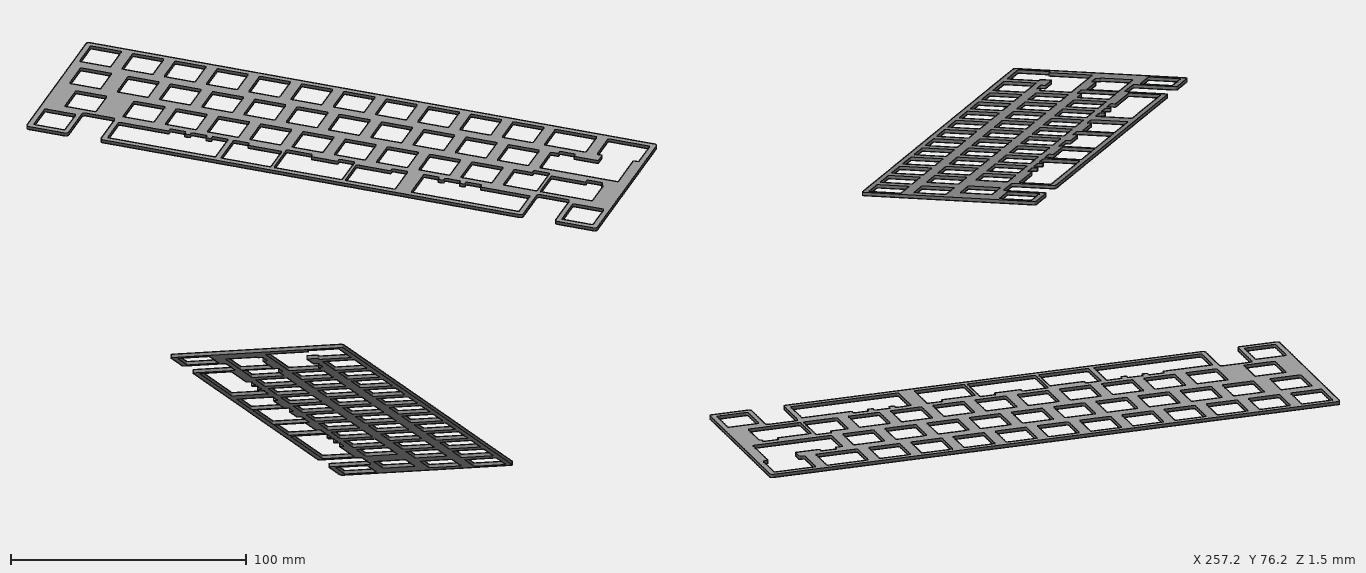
import cadquery as cq

PLATE_LENGTH = 257.2
PLATE_COLUMNS = 13.5
PLATE_ROWS = 4
PITCH = PLATE_LENGTH / PLATE_COLUMNS
THICKNESS = 1.5
OUTER_RADIUS = 1.3
WINDOW_RADIUS = 0.5

HALF_WEB = 2.52
SWITCH_SIZE = PITCH - 2 * HALF_WEB
HALF_SWITCH = SWITCH_SIZE / 2
STABILIZER_WIDTH = SWITCH_SIZE / 2
HALF_STABILIZER = STABILIZER_WIDTH / 2
STABILIZER_RISE = 2.0
STABILIZER_SPACING = 24.0
STABILIZER_REACH = STABILIZER_SPACING / 2

BOTTOM_ROW = 0.5
LOWER_ROW = 1.5
HOME_ROW = 2.5
TOP_ROW = 3.5

END_KEY_OFFSET = 0.5
ENTER_COLUMN = 12.375
ENTER_STEM_COLUMN = 12.875
SHIFT_COLUMN = 12.125
MIDDLE_COLUMN = PLATE_COLUMNS / 2
SPLIT_LEFT_COLUMN = 5.375
SPLIT_RIGHT_COLUMN = 7.875

SPACEBAR_REACHES = (2.5, 3.0, 3.5)
SPACEBAR_OUTER_KEY = 4.5
SHELF_EXTENSION = 4.6

NOTCH_INSET = 18.8
NOTCH_WIDTH = 14.7


def along_x(column):
    return (column - PLATE_COLUMNS / 2) * PITCH


def along_y(row):
    return (row - PLATE_ROWS / 2) * PITCH


def block(left, right, bottom, top):
    """Box through the full plate thickness."""
    box = cq.Workplane("XY").box(right - left, top - bottom, THICKNESS, centered=False)
    return box.translate((left, bottom, 0))


def row_opening(row, left, right, rise=0):
    """Opening as deep as a switch, optionally raised at the back."""
    middle = along_y(row)
    return block(left, right, middle - HALF_SWITCH, middle + HALF_SWITCH + rise)


def switch_opening(row, first_column, last_column):
    """Switch opening stretched to serve every key centre from first to last."""
    left = along_x(first_column) - HALF_SWITCH
    right = along_x(last_column) + HALF_SWITCH
    return row_opening(row, left, right)


def stabilizer_opening(row, centre, extension=0):
    """Stabilizer opening, optionally extended to the right."""
    left = centre - HALF_STABILIZER
    right = centre + HALF_STABILIZER + extension
    return row_opening(row, left, right, STABILIZER_RISE)


def window(*openings):
    """Join overlapping openings and round their corners."""
    joined = openings[0]
    for opening in openings[1:]:
        joined = joined.union(opening)
    return joined.clean().edges("|Z").fillet(WINDOW_RADIUS)


def square_windows():
    """Runs of single-switch windows: row, first column, number of keys."""
    runs = (
        (TOP_ROW, END_KEY_OFFSET, 11),
        (HOME_ROW, 0.625, 1),
        (HOME_ROW, 1.75, 10),
        (LOWER_ROW, 0.875, 1),
        (LOWER_ROW, 2.25, 9),
        (BOTTOM_ROW, END_KEY_OFFSET, 1),
        (BOTTOM_ROW, PLATE_COLUMNS - END_KEY_OFFSET, 1),
    )
    return [
        window(switch_opening(row, start + index, start + index))
        for row, start, count in runs
        for index in range(count)
    ]


def top_right_windows():
    """Stretched top-row key, and the stepped window of the enter key."""
    stem_centre = along_x(ENTER_STEM_COLUMN)
    stem = block(
        stem_centre - HALF_SWITCH,
        stem_centre + HALF_SWITCH,
        along_y(HOME_ROW),
        along_y(TOP_ROW),
    )
    enter_window = window(
        switch_opening(TOP_ROW, 12.75, 13.0),
        stem,
        switch_opening(HOME_ROW, 11.75, ENTER_STEM_COLUMN),
        stabilizer_opening(HOME_ROW, along_x(ENTER_COLUMN) - STABILIZER_REACH),
    )
    return [window(switch_opening(TOP_ROW, 11.5, 11.75)), enter_window]


def shift_windows():
    """Right shift key; its left stabilizer shares the neighbouring window."""
    centre = along_x(SHIFT_COLUMN)
    neighbour_window = window(
        switch_opening(LOWER_ROW, 11.25, 11.25),
        stabilizer_opening(LOWER_ROW, centre - STABILIZER_REACH),
    )
    shift_window = window(
        switch_opening(LOWER_ROW, SHIFT_COLUMN, 12.625),
        stabilizer_opening(LOWER_ROW, centre + STABILIZER_REACH),
    )
    return [neighbour_window, shift_window]


def spacebar_end_window():
    """Right-hand window with stabilizer openings for three spacebar lengths."""
    centres = [along_x(MIDDLE_COLUMN + reach) for reach in SPACEBAR_REACHES]
    left = centres[0] - HALF_STABILIZER
    right = along_x(MIDDLE_COLUMN + SPACEBAR_OUTER_KEY) + HALF_SWITCH
    stabilizers = [stabilizer_opening(BOTTOM_ROW, centre) for centre in centres]
    return window(row_opening(BOTTOM_ROW, left, right), *stabilizers)


def split_spacebar_windows():
    """Three windows for two stabilized keys standing side by side."""
    left_key = along_x(SPLIT_LEFT_COLUMN)
    right_key = along_x(SPLIT_RIGHT_COLUMN)
    outer_left = left_key - STABILIZER_REACH
    inner_left = left_key + STABILIZER_REACH
    inner_right = right_key - STABILIZER_REACH
    outer_right = right_key + STABILIZER_REACH
    left_window = window(
        row_opening(BOTTOM_ROW, outer_left, left_key + HALF_SWITCH),
        stabilizer_opening(BOTTOM_ROW, outer_left),
    )
    middle_window = window(
        row_opening(BOTTOM_ROW, inner_left, inner_right),
        stabilizer_opening(BOTTOM_ROW, inner_left, SHELF_EXTENSION),
        stabilizer_opening(BOTTOM_ROW, inner_right),
    )
    right_window = window(
        row_opening(BOTTOM_ROW, right_key - HALF_SWITCH, outer_right),
        stabilizer_opening(BOTTOM_ROW, outer_right),
    )
    return [left_window, middle_window, right_window]


def plate_blank():
    """Plate outline with the two front notches and rounded corners."""
    front = along_y(0)
    plate = block(along_x(0), along_x(PLATE_COLUMNS), front, along_y(PLATE_ROWS))
    notch_left = along_x(0) + NOTCH_INSET
    notch = block(notch_left, notch_left + NOTCH_WIDTH, front, along_y(1))
    plate = plate.cut(notch).cut(notch.mirror("YZ"))
    return plate.edges("|Z").fillet(OUTER_RADIUS)


end_window = spacebar_end_window()
windows = square_windows() + top_right_windows() + shift_windows() + split_spacebar_windows()
windows += [end_window, end_window.mirror("YZ")]

result = plate_blank()
for cutter in windows:
    result = result.cut(cutter)